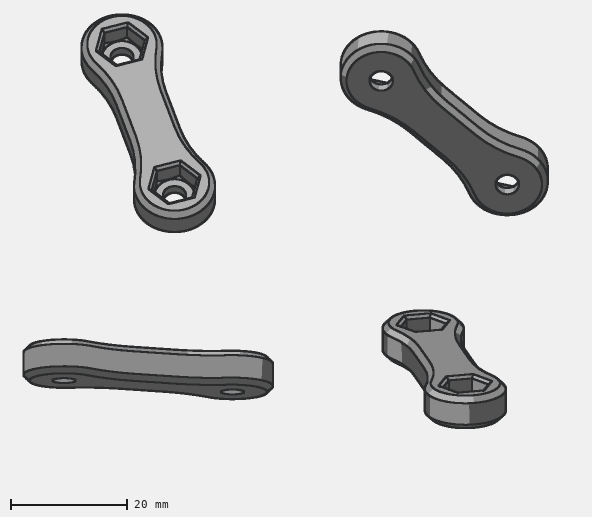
import cadquery as cq
import math

length = 44.45
end_diameter = 14.0
thickness = 6.0
edge_chamfer = 1.02

waist_width = 9.0
waist_straight = 8.0

bolt_diameter = 4.0
pocket_flats = 7.1
mouth_flats = 8.2
mouth_depth = 0.6
pocket_depth = 4.0
seat_diameter = 6.95
seat_slope = 30.0

end_radius = end_diameter / 2
end_x = length / 2 - end_radius
half_waist = waist_width / 2
half_straight = waist_straight / 2

blend_run = end_x - half_straight
blend_radius = (blend_run**2 + half_waist**2 - end_radius**2) / (2 * (end_radius - half_waist))
blend_angle = math.asin(blend_run / (blend_radius + end_radius))


def corner_diameter(flats):
    """Across-corners size of a hexagon with the given distance across flats."""
    return flats / math.cos(math.pi / 6)


def make_body():
    """Dog-bone plate with every outer edge chamfered."""
    join_x = end_x - end_radius * math.sin(blend_angle)
    join_y = end_radius * math.cos(blend_angle)
    mid_x = half_straight + blend_radius * math.sin(blend_angle / 2)
    mid_y = half_waist + blend_radius * (1 - math.cos(blend_angle / 2))
    outline = (
        cq.Workplane("XY")
        .moveTo(-half_straight, half_waist)
        .lineTo(half_straight, half_waist)
        .threePointArc((mid_x, mid_y), (join_x, join_y))
        .threePointArc((length / 2, 0), (join_x, -join_y))
        .threePointArc((mid_x, -mid_y), (half_straight, -half_waist))
        .lineTo(-half_straight, -half_waist)
        .threePointArc((-mid_x, -mid_y), (-join_x, -join_y))
        .threePointArc((-length / 2, 0), (-join_x, join_y))
        .threePointArc((-mid_x, mid_y), (-half_straight, half_waist))
        .close()
    )
    return outline.extrude(thickness).faces("<Z or >Z").chamfer(edge_chamfer)


def hexagon(x, z, flats):
    """Hexagon with corners toward +Y and -Y."""
    return (
        cq.Workplane("XY", origin=(x, 0, z))
        .transformed(rotate=(0, 0, 90))
        .polygon(6, corner_diameter(flats))
    )


def make_pocket(x):
    """Hexagonal nut pocket with a flared mouth and a floor sloped at the corners."""
    floor_z = thickness - pocket_depth
    shaft = hexagon(x, floor_z, pocket_flats).extrude(pocket_depth)

    seat_radius = seat_diameter / 2
    top_radius = seat_radius + pocket_depth / math.tan(math.radians(seat_slope))
    seat = cq.Workplane(cq.Solid.makeCone(
        seat_radius, top_radius, pocket_depth, pnt=cq.Vector(x, 0, floor_z)))

    mouth = (
        hexagon(x, thickness - mouth_depth, pocket_flats)
        .workplane(offset=mouth_depth)
        .polygon(6, corner_diameter(mouth_flats))
        .loft(ruled=True)
    )
    bolt_hole = cq.Workplane("XY").center(x, 0).circle(bolt_diameter / 2).extrude(thickness)
    return shaft.intersect(seat).union(mouth).union(bolt_hole)


result = make_body()
for pocket_x in (-end_x, end_x):
    result = result.cut(make_pocket(pocket_x))